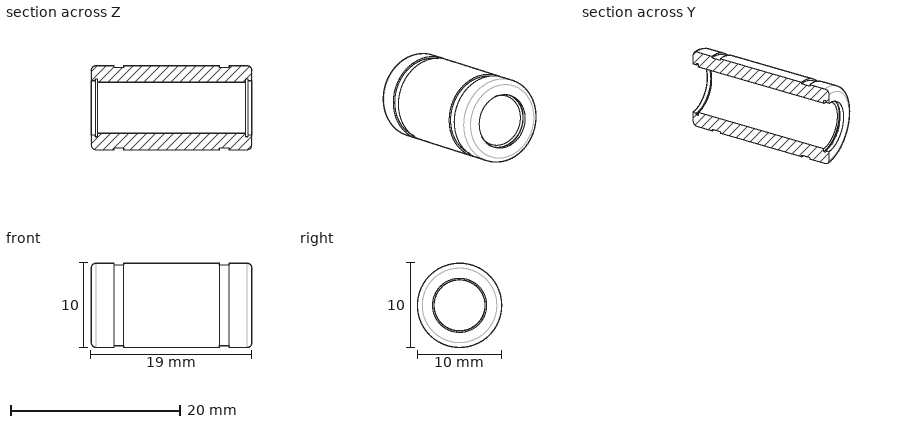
import cadquery as cq

length = 19.0
outer_diameter = 10.0
edge_radius = 0.59

groove_diameter = 9.6
groove_width = 1.14
groove_end_distance = 2.7

bore_diameter = 6.0
mouth_diameter = 6.4
mouth_depth = 0.5
undercut_diameter = 6.8
undercut_width = 0.25

left_end = -length / 2


def cylinder(diameter, end_distance, width):
    """Solid cylinder on the X axis, starting at a distance from the left end."""
    start = left_end + end_distance
    return cq.Workplane("YZ", origin=(start, 0, 0)).circle(diameter / 2).extrude(width)


def cut_at_both_ends(body, cutter):
    """Cut a left-end feature and its mirror image at the right end."""
    return body.cut(cutter).cut(cutter.mirror("YZ"))


sleeve = cylinder(outer_diameter, 0, length).edges("%CIRCLE").fillet(edge_radius)

groove_core = cylinder(groove_diameter, groove_end_distance, groove_width)
groove = cylinder(outer_diameter, groove_end_distance, groove_width).cut(groove_core)
sleeve = cut_at_both_ends(sleeve, groove)

sleeve = sleeve.cut(cylinder(bore_diameter, 0, length))
sleeve = cut_at_both_ends(sleeve, cylinder(mouth_diameter, 0, mouth_depth))
sleeve = cut_at_both_ends(sleeve, cylinder(undercut_diameter, mouth_depth, undercut_width))

result = sleeve